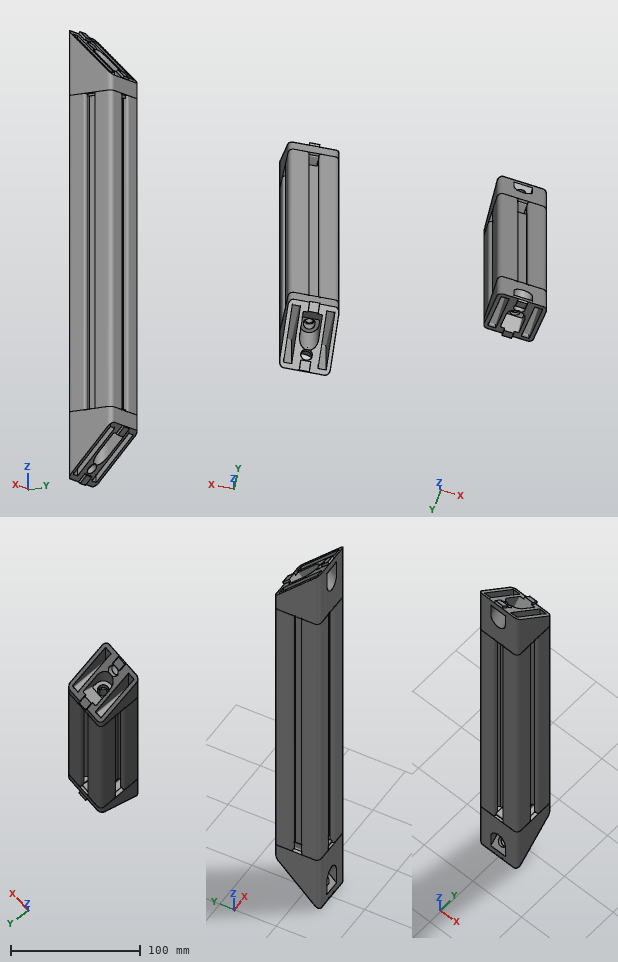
import cadquery as cq
import math

TOTAL_HEIGHT = 357.0
WIDTH = 40.0
CORNER_RADIUS = 4.0
PROFILE_LENGTH = 249.8

GROOVE_WIDTH = 8.0
GROOVE_DEPTH = 10.0
GROOVE_LIP = 4.0
GROOVE_LIP_RADIUS = 1.8
CAVITY_WIDTH = 18.0
CAVITY_BEVEL = 2.5
CORE_BORE_DIAMETER = 6.8

TAB_WIDTH = 8.0
TAB_LENGTH = 8.2
TAB_THICKNESS = 2.0
LUG_SETBACK = 2.0
LUG_FILLET = 0.7

SCREW_HOLE_DIAMETER = 9.0
HEAD_RECESS_WIDTH = 15.0
MITRE_SCREW_OFFSET = 14.0
MITRE_SEAT_DEPTH = 5.0
POCKET_FLOOR_HEIGHT = 8.5

SLOT_WIDTH = 6.5
SLOT_LENGTH = 33.5
SLOT_CENTRE_X = 13.5
SLOT_FLOOR_HEIGHT = 8.5
JOINT_SLOT_DEPTH = 5.7
RECESS_FILLET = 1.0

HALF_WIDTH = WIDTH / 2
HALF_PROFILE = PROFILE_LENGTH / 2
COS45 = math.sqrt(0.5)
TAB_RISE = TAB_THICKNESS * COS45
HIGH_EDGE = TOTAL_HEIGHT / 2 - HALF_PROFILE - TAB_RISE
LOW_EDGE = HIGH_EDGE - WIDTH
SLOPE_LENGTH = WIDTH / COS45


def column(height):
    """Square column with rounded vertical corners, standing on z = 0."""
    return cq.Workplane("XY").rect(WIDTH, WIDTH).extrude(height).edges("|Z").fillet(CORNER_RADIUS)


def slope_plane(distance):
    """Plane of the slope: origin `distance` down from the high edge, x down the slope, z outward."""
    origin = (0, -HALF_WIDTH + distance * COS45, HIGH_EDGE - distance * COS45)
    return cq.Plane(origin=origin, xDir=(0, 1, -1), normal=(0, 1, 1))


def groove_cutter():
    """T-shaped groove along the +X side, as long as the profile, with rounded lips."""
    half_mouth = GROOVE_WIDTH / 2
    half_cavity = CAVITY_WIDTH / 2
    half_floor = half_cavity - CAVITY_BEVEL
    rounded_mouth = half_mouth + GROOVE_LIP_RADIUS
    floor = HALF_WIDTH - GROOVE_DEPTH
    bevel_end = floor + CAVITY_BEVEL
    lip_back = HALF_WIDTH - GROOVE_LIP
    lip_front = HALF_WIDTH - GROOVE_LIP_RADIUS
    arc_x = HALF_WIDTH - GROOVE_LIP_RADIUS * (1 - COS45)
    arc_y = rounded_mouth - GROOVE_LIP_RADIUS * COS45
    return (
        cq.Workplane("XY")
        .moveTo(floor, -half_floor)
        .lineTo(bevel_end, -half_cavity)
        .lineTo(lip_back, -half_cavity)
        .lineTo(lip_back, -half_mouth)
        .lineTo(lip_front, -half_mouth)
        .threePointArc((arc_x, -arc_y), (HALF_WIDTH, -rounded_mouth))
        .lineTo(HALF_WIDTH, rounded_mouth)
        .threePointArc((arc_x, arc_y), (lip_front, half_mouth))
        .lineTo(lip_back, half_mouth)
        .lineTo(lip_back, half_cavity)
        .lineTo(bevel_end, half_cavity)
        .lineTo(floor, half_floor)
        .close()
        .extrude(PROFILE_LENGTH)
    )


def make_profile():
    body = column(PROFILE_LENGTH)
    for angle in (0, 90, 180, 270):
        body = body.cut(groove_cutter().rotate((0, 0, 0), (0, 0, 1), angle))
    bore = cq.Workplane("XY").circle(CORE_BORE_DIAMETER / 2).extrude(PROFILE_LENGTH)
    return body.cut(bore).translate((0, 0, -HALF_PROFILE))


def mitred_block():
    side = [(-HALF_WIDTH, 0), (HALF_WIDTH, 0), (HALF_WIDTH, LOW_EDGE), (-HALF_WIDTH, HIGH_EDGE)]
    wedge = cq.Workplane("YZ").polyline(side).close().extrude(HALF_WIDTH, both=True)
    return column(HIGH_EDGE).intersect(wedge)


def slope_tabs():
    """One tab flush with the high end of the slope and one flush with its low end."""
    tabs = cq.Workplane("XY")
    for distance in (TAB_LENGTH / 2, SLOPE_LENGTH - TAB_LENGTH / 2):
        tab = cq.Workplane(slope_plane(distance)).rect(TAB_LENGTH, TAB_WIDTH).extrude(TAB_THICKNESS)
        tabs = tabs.add(tab)
    return tabs


def joint_lugs():
    """Lugs below the joint face that reach to the floors of the front and back grooves."""
    length = GROOVE_DEPTH - LUG_SETBACK
    lug_y = HALF_WIDTH - LUG_SETBACK - length / 2
    places = [(0, -lug_y), (0, lug_y)]
    lugs = cq.Workplane("XY").pushPoints(places).rect(TAB_WIDTH, length).extrude(-TAB_THICKNESS)
    return lugs.faces("<Z").edges("|X").fillet(LUG_FILLET)


def joint_screw_cutter():
    """Vertical screw hole under a U-shaped pocket whose back wall is square to the slope."""
    hole = cq.Workplane("XY").circle(SCREW_HOLE_DIAMETER / 2).extrude(HIGH_EDGE)
    height = HIGH_EDGE - POCKET_FLOOR_HEIGHT
    round_end = (
        cq.Workplane("XY", origin=(0, 0, POCKET_FLOOR_HEIGHT)).circle(HEAD_RECESS_WIDTH / 2).extrude(height)
    )
    wall_top_y = HALF_WIDTH - TAB_LENGTH * COS45
    wall_top_z = LOW_EDGE + TAB_LENGTH * COS45
    wall_foot_y = wall_top_y - (wall_top_z - POCKET_FLOOR_HEIGHT)
    side = [
        (0, POCKET_FLOOR_HEIGHT),
        (wall_foot_y, POCKET_FLOOR_HEIGHT),
        (wall_top_y, wall_top_z),
        (wall_top_y, HIGH_EDGE),
        (0, HIGH_EDGE),
    ]
    open_end = cq.Workplane("YZ").polyline(side).close().extrude(HEAD_RECESS_WIDTH / 2, both=True)
    back_wall = open_end.faces(cq.selectors.DirectionMinMaxSelector(cq.Vector(0, 1, -1), True))
    open_end = back_wall.edges("not |X").fillet(RECESS_FILLET)
    back_half = cq.Workplane("XY").box(WIDTH, WIDTH, HIGH_EDGE, centered=(True, False, False))
    round_end = round_end.cut(back_half)
    return hole.union(round_end).union(open_end)


def mitre_screw_cutter():
    """Screw hole square to the slope, with a head recess that runs out through the -Y face."""
    plane = slope_plane(MITRE_SCREW_OFFSET)
    hole = cq.Workplane(plane).circle(SCREW_HOLE_DIAMETER / 2).extrude(-2 * MITRE_SEAT_DEPTH)
    seat = cq.Workplane(plane).workplane(offset=-MITRE_SEAT_DEPTH)
    round_end = seat.circle(HEAD_RECESS_WIDTH / 2).extrude(-WIDTH)
    open_end = seat.center(-WIDTH / 2, 0).rect(WIDTH, HEAD_RECESS_WIDTH).extrude(-WIDTH)
    return hole.union(round_end).union(open_end)


def slot_pair(floor_height, height):
    """Two slots with rounded floor edges, cut over `height` (negative runs down) from their floor."""
    places = [(-SLOT_CENTRE_X, 0), (SLOT_CENTRE_X, 0)]
    floor = cq.Workplane("XY", origin=(0, 0, floor_height))
    slots = floor.pushPoints(places).rect(SLOT_WIDTH, SLOT_LENGTH).extrude(height)
    floor_side = "<Z" if height > 0 else ">Z"
    return slots.faces(floor_side).edges().fillet(RECESS_FILLET)


def make_cap():
    slope_slots = slot_pair(SLOT_FLOOR_HEIGHT, HIGH_EDGE)
    joint_slots = slot_pair(JOINT_SLOT_DEPTH, -JOINT_SLOT_DEPTH)
    body = mitred_block().cut(joint_screw_cutter()).cut(mitre_screw_cutter())
    body = body.cut(slope_slots).cut(joint_slots)
    return body.union(slope_tabs()).union(joint_lugs())


profile = make_profile()
top_cap = make_cap().translate((0, 0, HALF_PROFILE))
bottom_cap = top_cap.mirror("XY")

result = cq.Compound.makeCompound([profile.val(), top_cap.val(), bottom_cap.val()])